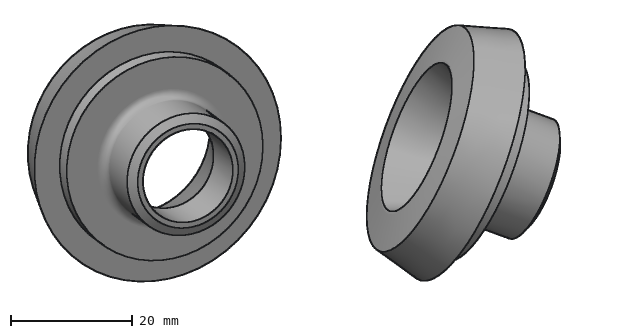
import cadquery as cq
import math

length = 22.0
crown_depth = 0.65
flange_end = 8.98
step_end = 12.0

flange_radius = 44.0 / 2
flange_front_radius = 19.75
step_radius = 35.0 / 2
hub_radius = 21.0 / 2
hub_fillet = 1.5
hub_chamfer_length = 0.9
hub_chamfer_angle = 60.0
hub_chamfer_height = hub_chamfer_length * math.tan(math.radians(hub_chamfer_angle))

lip_radius = 13.45
mouth_radius = 13.0
bore_radius = 16.0 / 2
mouth_depth = 13.65

fillet_center_x = step_end + hub_fillet
fillet_center_radius = hub_radius + hub_fillet
fillet_middle = (
    fillet_center_x - hub_fillet * math.sqrt(0.5),
    fillet_center_radius - hub_fillet * math.sqrt(0.5),
)

section = (
    cq.Workplane("XY")
    .moveTo(0, mouth_radius)
    .lineTo(0, lip_radius)
    .lineTo(crown_depth, flange_front_radius)
    .lineTo(flange_end, flange_radius)
    .lineTo(flange_end, step_radius)
    .lineTo(step_end, step_radius)
    .lineTo(step_end, fillet_center_radius)
    .threePointArc(fillet_middle, (fillet_center_x, hub_radius))
    .lineTo(length - hub_chamfer_length, hub_radius)
    .lineTo(length, hub_radius - hub_chamfer_height)
    .lineTo(length, bore_radius)
    .lineTo(mouth_depth, bore_radius)
    .close()
)

result = section.revolve(360, (0, 0, 0), (1, 0, 0))